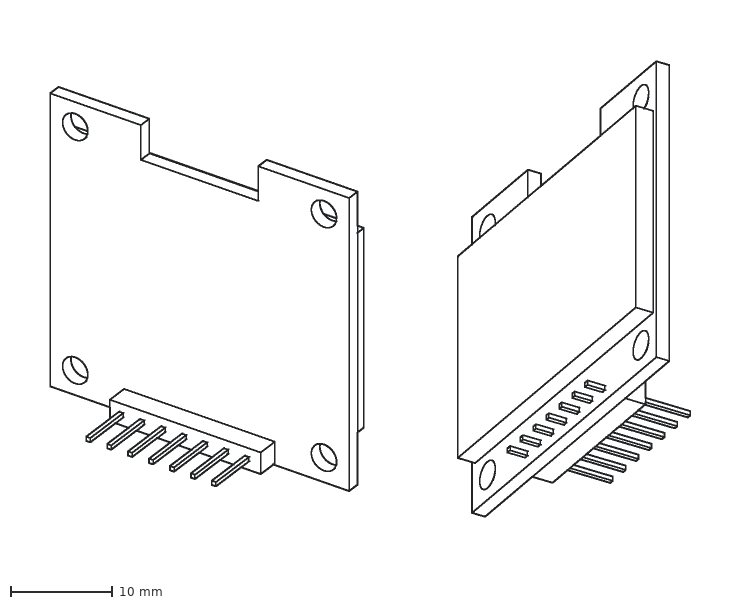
import cadquery as cq


board_width = 35.7
board_height = 33.75
board_thickness = 1.5
notch_width = 14.0
notch_depth = 4.0
hole_diameter = 3.0
hole_inset_x = 3.0
hole_inset_z = 2.85

display_width = 34.5
display_height = 23.0
display_thickness = 2.0

header_width = 18.0
header_size = 2.5
header_bottom_gap = 0.2
header_z = -board_height / 2 + header_bottom_gap + header_size / 2

pin_count = 7
pin_pitch = 2.5
pin_size = 0.5
pin_length = 11.8
pin_row_offset = -0.15
pin_back_y = board_thickness + display_thickness
pin_positions = [
    (pin_row_offset + (index - (pin_count - 1) / 2) * pin_pitch, header_z)
    for index in range(pin_count)
]


def block(width, depth, height, front_y, x=0, z=0):
    """A box centred on (x, z) that runs back along +Y from front_y."""
    box = cq.Workplane("XY").box(width, depth, height, centered=(True, False, True))
    return box.translate((x, front_y, z))


def make_pin(x, z):
    """One square pin, also used to cut its own hole in the board and header."""
    return block(pin_size, pin_length, pin_size, pin_back_y - pin_length, x, z)


def cut_pin_holes(body):
    for x, z in pin_positions:
        body = body.cut(make_pin(x, z))
    return body


def make_board():
    """Board with a notch in the top edge, corner mounting holes and pin holes."""
    plate = block(board_width, board_thickness, board_height, 0)
    notch_z = board_height / 2 - notch_depth / 2
    plate = plate.cut(block(notch_width, board_thickness, notch_depth, 0, z=notch_z))
    mounting_holes = (
        cq.Workplane("XZ")
        .rect(board_width - 2 * hole_inset_x, board_height - 2 * hole_inset_z, forConstruction=True)
        .vertices()
        .circle(hole_diameter / 2)
        .extrude(-board_thickness)
    )
    return cut_pin_holes(plate.cut(mounting_holes))


def make_display():
    return block(display_width, display_thickness, display_height, board_thickness)


def make_header():
    strip = block(header_width, header_size, header_size, -header_size, z=header_z)
    return cut_pin_holes(strip)


board = make_board()
display = make_display()
header = make_header()
pins = [make_pin(x, z) for x, z in pin_positions]

result = cq.Compound.makeCompound(
    [board.val(), display.val(), header.val(), *[pin.val() for pin in pins]]
)